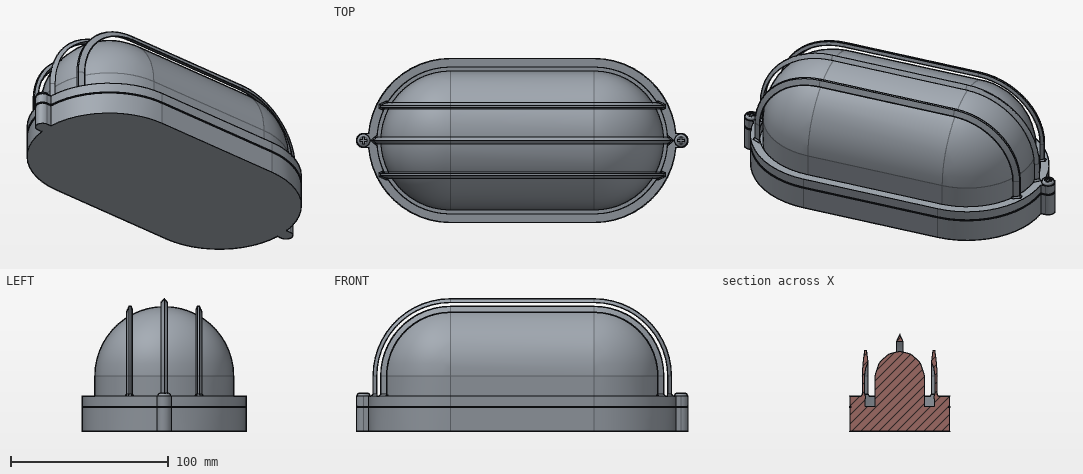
import cadquery as cq

half_straight = 45.5
base_radius = 52.0
base_height = 22.3

seam_bottom = 15.2
seam_width = 0.6
seam_depth = 0.4
seam_top = seam_bottom + seam_width

glass_radius = 44.0
opening_radius = 46.5
spring_height = 35.0

boss_radius = 4.5
boss_offset = 100.5
head_radius = 4.1
head_height = 1.9
head_rounding = 1.7
cross_length = 4.4
cross_width = 1.5
cross_depth = 1.0

middle_section = [(-2.2, 46.5), (0, 49.0), (2.2, 46.5)]
side_section = [(20.0, 42.0), (20.9, 44.2), (22.3, 44.2), (24.0, 40.5), (24.0, 40.2)]
mirrored_side_section = [(-y, r) for y, r in side_section]
foot_height = 1.2
foot_flare = 0.9


def oval(radius, bottom, height):
    """Upright slab with straight sides and round ends."""
    length = 2 * (half_straight + radius)
    return cq.Workplane("XY").workplane(offset=bottom).slot2D(length, 2 * radius).extrude(height)


def boss(side, radius, bottom, height):
    """Round-nosed boss joined to one end of the oval."""
    reach = boss_offset - half_straight
    block = (
        cq.Workplane("XY", origin=(side * (half_straight + reach / 2), 0, bottom))
        .rect(reach, 2 * radius)
        .extrude(height)
    )
    nose = cq.Workplane("XY", origin=(side * boss_offset, 0, bottom)).circle(radius).extrude(height)
    return block.union(nose)


def base_layer(inset, bottom, height):
    """One level of the base, with its outline drawn in by the inset."""
    layer = oval(base_radius - inset, bottom, height)
    for side in (-1, 1):
        layer = layer.union(boss(side, boss_radius - inset, bottom, height))
    return layer


def make_base():
    housing = base_layer(0, 0, seam_bottom)
    seam = base_layer(seam_depth, seam_bottom, seam_width)
    frame = base_layer(0, seam_top, base_height - seam_top)
    opening = oval(opening_radius, seam_top, base_height - seam_top)
    return housing.union(seam).union(frame.cut(opening))


def make_glass():
    wall = oval(glass_radius, seam_bottom, spring_height - seam_bottom)
    barrel = (
        cq.Workplane("YZ", origin=(-half_straight, 0, spring_height))
        .moveTo(-glass_radius, 0)
        .threePointArc((0, glass_radius), (glass_radius, 0))
        .close()
        .extrude(2 * half_straight)
    )
    glass = wall.union(barrel)
    for side in (-1, 1):
        ball = cq.Workplane("XY").sphere(glass_radius, angle1=0)
        glass = glass.union(ball.translate((side * half_straight, 0, spring_height)))
    return glass


def wire_outline(section, side, height):
    """Wire section lying flat at a given height at one end of the lamp."""
    points = [(side * (half_straight + r), y) for y, r in section]
    return cq.Workplane("XY").workplane(offset=height).polyline(points).close()


def make_wire(section):
    """Guard wire: a straight top, a quarter bend and a leg with a flared foot at each end."""
    top_points = [(y, spring_height + r) for y, r in section]
    wire = (
        cq.Workplane("YZ", origin=(-half_straight, 0, 0))
        .polyline(top_points)
        .close()
        .extrude(2 * half_straight)
    )
    for side in (-1, 1):
        bend = wire_outline(section, side, spring_height).revolve(
            90, (side * half_straight, 0, 0), (side * half_straight, -side, 0)
        )
        leg = wire_outline(section, side, base_height).extrude(spring_height - base_height)
        wire = wire.union(bend).union(leg).union(make_foot(section, side))
    return wire


def make_foot(section, side):
    """Flared foot of a wire, trimmed where it would overhang the frame opening."""
    sole = wire_outline(section, side, base_height).offset2D(foot_flare, "intersection").val()
    ankle = wire_outline(section, side, base_height + foot_height).val()
    foot = cq.Workplane(cq.Solid.makeLoft([sole, ankle], True))
    return foot.cut(oval(opening_radius, base_height, foot_height))


def make_screw_head(side):
    head = (
        cq.Workplane("XY", origin=(side * boss_offset, 0, base_height))
        .circle(head_radius)
        .extrude(head_height)
        .faces(">Z")
        .edges()
        .fillet(head_rounding)
    )
    for angle in (0, 90):
        slot = (
            cq.Workplane("XY", origin=(side * boss_offset, 0, base_height + head_height - cross_depth))
            .transformed(rotate=(0, 0, angle))
            .rect(cross_length, cross_width)
            .extrude(cross_depth)
        )
        head = head.cut(slot)
    return head


result = make_base().union(make_glass())
for wire_section in (middle_section, side_section, mirrored_side_section):
    result = result.union(make_wire(wire_section))
for end in (-1, 1):
    result = result.union(make_screw_head(end))